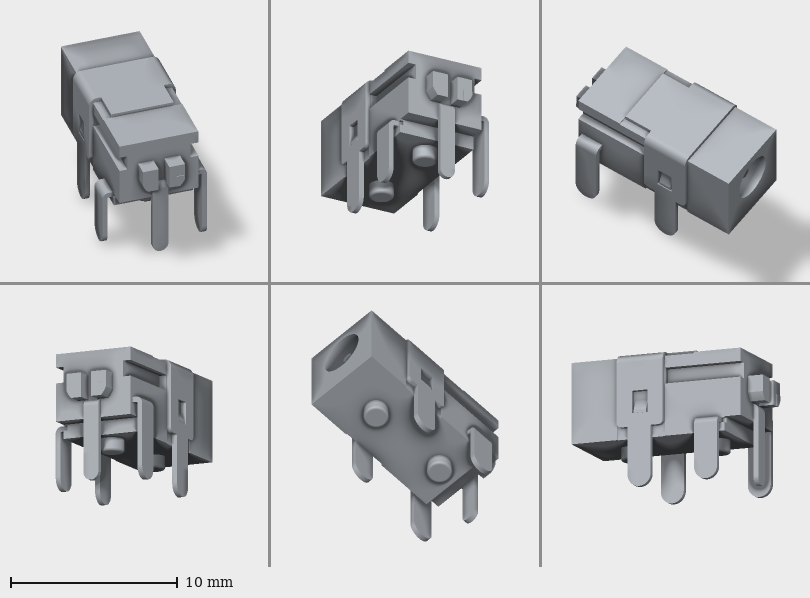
import cadquery as cq


body_length = 11.0
body_size = 5.0
half_width = body_size / 2

recess_depth = 0.08
recess_start = 3.0
recess_end = 6.07
top_recess_end = 7.98

groove_bottom = 3.22
groove_top = 4.19
groove_depth = 0.5
step_start = 9.97
step_height = 0.86

bore_diameter = 2.81
bore_depth = 9.0
bore_height = 3.0
pin_diameter = 0.65
pin_setback = 0.5

boss_diameter = 1.5
boss_length = 0.8
boss_fillet = 0.15
boss_positions = (3.0, 8.5)

overall_length = 12.0
pad_height = 0.04
pad_width = 0.58
pad_top = 2.72
post_end = overall_length - pad_height
post_width = 1.0
post_gap = 0.67
post_bottom = 1.99
post_top = 3.5
post_round_radius = 1.43

sheet = 0.32
leg_width = 1.5
leg_tip = -3.0
embed = 0.36

clip_start = 3.04
clip_length = 3.0
clip_centre = clip_start + clip_length / 2
clip_width = 5.5
clip_top = 5.2
clip_bottom = 0.7
clip_bend_radius = 0.5
clip_corner_radius = 0.3
clip_leg_centre = 4.5
tongue_end = 7.92
tongue_width = 3.96

window_width = 1.01
window_bottom = 1.51
window_top = 2.89
barb_width = 0.8
barb_bottom = 1.52
barb_ridge = 1.73
barb_top = 2.34
barb_height = 0.29

terminal_bend_radius = 0.4
overall_width = 6.3
terminal_reach = overall_width / 2
front_terminal_centre = 9.0
front_terminal_top = 0.83
back_terminal_centre = 10.0
back_terminal_top = 1.95
rear_terminal_width = 1.0
rear_terminal_top = 1.95

seat_bottom = 0.52
seat_top = 0.8
seat_depth = 0.24


def box(x0, x1, y0, y1, z0, z1):
    """Box between two opposite corners."""
    return cq.Workplane("XY").box(x1 - x0, y1 - y0, z1 - z0, centered=False).translate((x0, y0, z0))


def round_ended_strip(width, top, tip):
    """Plate lying in XZ, centred on X = 0, growing toward -Y, with a full round at the lower end."""
    radius = width / 2
    return (
        cq.Workplane("XZ")
        .moveTo(-radius, top)
        .lineTo(-radius, tip + radius)
        .threePointArc((0, tip), (radius, tip + radius))
        .lineTo(radius, top)
        .close()
    )


def bent_terminal(width, top, reach, anchor):
    """L-shaped terminal leaving toward -Y: flat from y = -anchor, bent down at y = -reach."""
    strip = (
        cq.Workplane("YZ")
        .moveTo(-anchor, top)
        .lineTo(-reach, top)
        .lineTo(-reach, leg_tip)
        .lineTo(-reach + sheet, leg_tip)
        .lineTo(-reach + sheet, top - sheet)
        .lineTo(-anchor, top - sheet)
        .close()
        .extrude(width / 2, both=True)
        .edges("|X and >Z and <Y")
        .fillet(terminal_bend_radius)
    )
    inner_bend = cq.selectors.NearestToPointSelector((0, -reach + sheet, top - sheet))
    strip = strip.edges("|X").edges(inner_bend).fillet(terminal_bend_radius - sheet)
    return strip.intersect(round_ended_strip(width, top, leg_tip).extrude(reach))


def make_housing():
    """Housing with clip recess, side grooves, rear step, terminal seat, bore and centre pin."""
    housing = box(0, body_length, -half_width, half_width, 0, body_size)

    recess_floor = body_size - recess_depth
    housing = housing.cut(
        box(recess_start, top_recess_end, -half_width, half_width, recess_floor, body_size)
    )
    housing = housing.cut(box(step_start, body_length, -half_width, half_width, 0, step_height))

    side_recess = box(
        recess_start, recess_end, half_width - recess_depth, half_width, 0, body_size
    )
    groove = box(
        recess_end, body_length, half_width - groove_depth, half_width, groove_bottom, groove_top
    )
    for cutter in (side_recess, groove):
        housing = housing.cut(cutter).cut(cutter.mirror("XZ"))

    seat = box(
        front_terminal_centre, step_start,
        -half_width, -half_width + seat_depth,
        seat_bottom, seat_top,
    )
    housing = housing.cut(seat)

    bore = cq.Workplane("YZ").center(0, bore_height).circle(bore_diameter / 2).extrude(bore_depth)
    pin = (
        cq.Workplane("YZ", origin=(pin_setback, 0, bore_height))
        .circle(pin_diameter / 2)
        .extrude(bore_depth - pin_setback)
    )
    return housing.cut(bore).union(pin)


def make_boss(x):
    """Locating boss under the housing with a rounded tip edge."""
    return (
        cq.Workplane("XY", origin=(x, 0, 0))
        .circle(boss_diameter / 2)
        .extrude(-boss_length)
        .faces("<Z")
        .edges()
        .fillet(boss_fillet)
    )


def make_posts():
    """Pair of rear posts with rounded outer lower corners; the +Y one has a raised pad on its tip."""
    inner = post_gap / 2
    outer = inner + post_width
    post = box(body_length, post_end, inner, outer, post_bottom, post_top)
    pad = box(post_end, overall_length, outer - pad_width, outer, post_bottom, pad_top)
    envelope = (
        cq.Workplane("YZ", origin=(body_length, 0, bore_height))
        .circle(post_round_radius)
        .extrude(overall_length - body_length)
    )
    plus_post = post.union(pad).intersect(envelope)
    minus_post = post.intersect(envelope).mirror("XZ")
    return plus_post, minus_post


def make_barb():
    """Latch barb on the -Y side: a ramp on top of a short flat."""
    floor = -half_width + recess_depth
    return (
        cq.Workplane("YZ", origin=(clip_centre, 0, 0))
        .moveTo(floor, barb_top)
        .lineTo(floor - barb_height, barb_ridge)
        .lineTo(floor - barb_height, barb_bottom)
        .lineTo(floor, barb_bottom)
        .close()
        .extrude(barb_width / 2, both=True)
    )


def make_clip():
    """U-shaped clip over the housing with a rear tongue, side windows and two legs."""
    clip_end = clip_start + clip_length
    outer = clip_width / 2
    inner = outer - sheet

    shell = box(clip_start, clip_end, -outer, outer, clip_bottom, clip_top)
    shell = shell.edges("|X and >Z").fillet(clip_bend_radius)
    shell = shell.edges("|Y and <Z").fillet(clip_corner_radius)
    legs = (
        round_ended_strip(leg_width, clip_bottom + sheet, leg_tip)
        .extrude(outer, both=True)
        .translate((clip_leg_centre, 0, 0))
    )
    cavity = box(clip_start, clip_end, -inner, inner, leg_tip, clip_top - sheet)
    cavity = cavity.edges("|X and >Z").fillet(clip_bend_radius - sheet)
    windows = box(
        clip_centre - window_width / 2, clip_centre + window_width / 2,
        -outer, outer,
        window_bottom, window_top,
    )
    tongue = box(
        clip_end, tongue_end,
        -tongue_width / 2, tongue_width / 2,
        clip_top - sheet, clip_top,
    )
    return shell.union(legs).cut(cavity).cut(windows).union(tongue)


def make_terminals():
    """Two side terminals and one at the rear."""
    side_anchor = half_width - embed
    front = bent_terminal(leg_width, front_terminal_top, terminal_reach, side_anchor)
    back = bent_terminal(leg_width, back_terminal_top, terminal_reach, side_anchor).mirror("XZ")
    rear_reach = body_length + sheet
    rear = bent_terminal(rear_terminal_width, rear_terminal_top, rear_reach, body_length - embed)
    return (
        front.translate((front_terminal_centre, 0, 0)),
        back.translate((back_terminal_centre, 0, 0)),
        rear.rotate((0, 0, 0), (0, 0, 1), 90),
    )


result = make_housing().union(make_clip())
for boss_x in boss_positions:
    result = result.union(make_boss(boss_x))
barb = make_barb()
for attachment in (barb, barb.mirror("XZ"), *make_posts(), *make_terminals()):
    result = result.union(attachment)